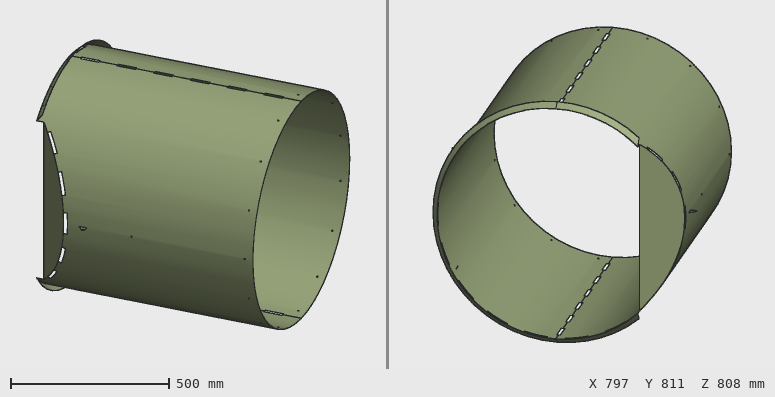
import cadquery as cq
import math

length = 797.0
outer_radius = 386.0
sheet = 1.0
inner_radius = outer_radius - sheet

collar_radius = 404.0
collar_run = 19.5

corner_y = -266.0
corner_x = 24.0
slope = 45.0

notch_depth = 10.0
notch_width = 75.0
notch_height = 32.5
collar_notch_step = 20.0
collar_notches_per_side = 6
plate_notch_angles = [-37.0, -19.0, 0.0, 19.0, 37.0]

seam_slot_count = 6
seam_slot_start = 38.0
seam_slot_pitch = 126.5
seam_slot_length = 62.5
seam_slot_width = 11.0

hole_diameter = 4.0
end_hole_count = 15
end_hole_x = length - 28.0
side_hole_x = 379.0

lug_tip_radius = 407.0
lug_length = 26.0
lug_tip_round = 6.0
lug_hole_diameter = 6.0
front_lug_x = 198.0
rear_lug_x = 47.0
rear_lug_angle = 150.0

FRONT = -1
REAR = 1


def turned_from_front(shape, angle):
    """Turn a shape made on the -Y side about the tube axis."""
    return shape.rotate((0, 0, 0), (1, 0, 0), angle)


def half_space(side):
    """Box covering everything on one side of the Y = 0 seam plane."""
    size = 2 * length
    return cq.Workplane("XY").box(size, size, size).translate((length / 2, side * size / 2, 0))


def cylinder(radius):
    return cq.Workplane("YZ").circle(radius).extrude(length)


def corner_cut():
    """Prism removed from the open end on the -Y side."""
    reach = 2 * length
    return (
        cq.Workplane("XY")
        .moveTo(-reach, corner_y)
        .lineTo(corner_x, corner_y)
        .lineTo(corner_x + reach, corner_y - reach * math.tan(math.radians(slope)))
        .lineTo(-reach, corner_y - reach)
        .close()
        .extrude(length, both=True)
    )


def cut_each(body, tools):
    for tool in tools.vals():
        body = body.cut(cq.Workplane(tool))
    return body


def notch_cutter():
    """Block centred on an edge, so that half of it sinks into the tube."""
    return cq.Workplane("XY").box(2 * notch_depth, notch_height, notch_width)


def collar_notches():
    notch = notch_cutter().translate((0, outer_radius, 0))
    notches = cq.Workplane("XY")
    for step in range(-collar_notches_per_side, collar_notches_per_side + 1):
        notches = notches.add(turned_from_front(notch, step * collar_notch_step))
    return notches


def plate_notches():
    notches = cq.Workplane("XY")
    stretch = 1 / math.sin(math.radians(slope))
    for angle in plate_notch_angles:
        a = math.radians(angle)
        y = -outer_radius * math.cos(a)
        z = -outer_radius * math.sin(a)
        x = corner_x + (corner_y - y) / math.tan(math.radians(slope))
        tilt = math.degrees(math.atan2(stretch * math.sin(a), math.cos(a)))
        notch = (
            notch_cutter()
            .rotate((0, 0, 0), (1, 0, 0), tilt)
            .rotate((0, 0, 0), (0, 0, 1), slope)
            .translate((x, y, z))
        )
        notches = notches.add(notch)
    return notches


def seam_slots():
    slots = cq.Workplane("XY")
    slot = cq.Workplane("XY").box(seam_slot_length, seam_slot_width, 3 * outer_radius)
    for index in range(seam_slot_count):
        centre_x = seam_slot_start + seam_slot_length / 2 + index * seam_slot_pitch
        slots = slots.add(slot.translate((centre_x, 0, 0)))
    return slots


def drill(x, angle):
    """Radial drill through one wall of the tube."""
    depth = 32.5
    start = (x, -outer_radius + depth / 2, 0)
    hole = cq.Workplane("XZ", origin=start).circle(hole_diameter / 2).extrude(depth)
    return turned_from_front(hole, angle)


def lug(start_x, angle):
    """Flat radial lug with a sloping leading edge, a rounded tip and an eye."""
    end_x = start_x + lug_length
    root = -(inner_radius + sheet / 2)
    eye_x = end_x - lug_tip_round
    eye_y = -(lug_tip_radius - lug_tip_round)
    diagonal = lug_tip_round * math.sin(math.pi / 4)
    blade = (
        cq.Workplane("XY", origin=(0, 0, -sheet / 2))
        .moveTo(start_x, root)
        .lineTo(end_x, root)
        .lineTo(end_x, eye_y)
        .threePointArc((eye_x, -lug_tip_radius), (eye_x - diagonal, eye_y - diagonal))
        .close()
        .extrude(sheet)
    )
    eye = cq.Workplane("XY").center(eye_x, eye_y).circle(lug_hole_diameter / 2).extrude(8, both=True)
    return turned_from_front(blade.cut(eye), angle)


def end_plate():
    """Flat plate filling the sloping cut, inside the tube wall."""
    face_shift = sheet / math.sin(math.radians(slope))
    slab = (
        cq.Workplane("XY")
        .moveTo(corner_x, corner_y)
        .lineTo(corner_x + face_shift, corner_y)
        .lineTo(corner_x + face_shift + outer_radius, corner_y - outer_radius)
        .lineTo(corner_x + outer_radius, corner_y - outer_radius)
        .close()
        .extrude(outer_radius, both=True)
    )
    return slab.intersect(cylinder(inner_radius))


def half_shell(side):
    """Half of the tube; the front half carries the end plate."""
    shell = cylinder(outer_radius).cut(cylinder(inner_radius)).intersect(half_space(side))
    shell = cut_each(shell, collar_notches())
    shell = cut_each(shell, seam_slots())
    for index in range(end_hole_count):
        shell = shell.cut(drill(end_hole_x, index * 360 / end_hole_count))
    if side == FRONT:
        shell = shell.cut(corner_cut())
        shell = cut_each(shell, plate_notches())
        shell = shell.cut(drill(side_hole_x, 0))
        return shell.union(lug(front_lug_x, 0)).union(end_plate())
    for angle in (-rear_lug_angle, rear_lug_angle):
        shell = shell.union(lug(rear_lug_x, angle))
    return shell


def half_collar(side):
    """Half of the flare; the corner cut leaves the front half in two pieces."""
    collar = (
        cq.Workplane("XY")
        .moveTo(0, outer_radius)
        .lineTo(sheet, outer_radius)
        .lineTo(collar_run, collar_radius - sheet)
        .lineTo(collar_run, collar_radius)
        .close()
        .revolve(360, (0, 0, 0), (1, 0, 0))
    )
    return collar.intersect(half_space(side)).cut(corner_cut())


front_shell = half_shell(FRONT)
rear_shell = half_shell(REAR)
front_collar = half_collar(FRONT)
rear_collar = half_collar(REAR)

result = cq.Compound.makeCompound([
    *front_shell.vals(),
    *rear_shell.vals(),
    *front_collar.solids().vals(),
    *rear_collar.vals(),
])